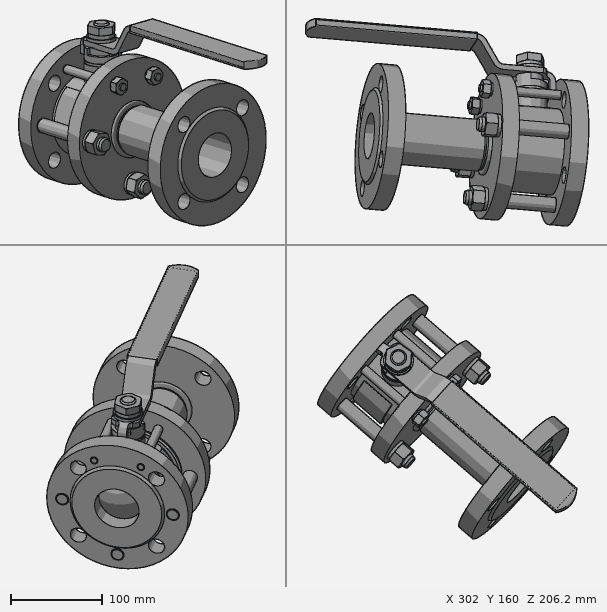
import cadquery as cq
import math


flange_radius = 80.0
flange_thickness = 19.5
raised_face_height = 2.7
raised_face_radius = 53.5
sealing_face_radius = 50.8
bore_radius = 25.0
bolt_circle_radius = 62.5
bolt_hole_radius = 9.0
bolt_hole_angles = (45, 135, 225, 315)

inlet_flange_start = raised_face_height
inlet_flange_end = inlet_flange_start + flange_thickness

body_radius = 47.5
body_end = 77.3
pad_radius = 51.5
pad_start = 29.3
pad_end = 69.8
pad_inner_y = -33.0
stem_x = 50.2
neck_radius = 18.7
neck_floor = 76.7
neck_groove_bottom = 65.5
neck_groove_height = 3.0
neck_groove_depth = 0.5
stop_wall_top = 84.0
stop_wall_x_offset = 3.0
stop_wall_y_offset = 7.3

joint_face_height = 3.5
joint_chamfer_height = 1.8
joint_face_radius = 51.5
middle_flange_thickness = 18.7
middle_flange_start = body_end + joint_face_height
middle_flange_end = middle_flange_start + middle_flange_thickness
outlet_flange_start = 208.8
outlet_flange_end = outlet_flange_start + flange_thickness
outlet_face = outlet_flange_end + raised_face_height
pipe_radius = 28.5
weld_neck_radius = 26.5
weld_neck_length = 1.8
weld_bevel_length = 2.5
collar_radius = 32.0
collar_length = 3.3
collar_fillet = 1.0

ball_radius = 40.5
stem_radius = 14.5
stem_thread_radius = 8.8
stem_top = 111.2
stem_tip_chamfer = 1.8
stop_pin_radius = 3.0
stop_pin_length = 40.0
flat_washer_radius = 16.3
flat_washer_height = 3.5
spring_washer_height = 4.5
stem_nut_corner_radius = 16.0
stem_nut_height = 9.0
stem_nut_turn = 7
nut_chamfer = 1.0
nut_clearance = 0.3

lever_half_width = 16.0
lever_thickness = 6.3
lever_bottom = 85.5
lever_top = lever_bottom + lever_thickness
lever_end = 294.3
tail_half_width = 5.0
tail_bottom = 70.0
tail_bend_radius = 11.2
tail_neck_x = 30.0
shoulder_half_width = 9.5
shoulder_end = 38.7
rise_start = 84.0
rise_angle = math.radians(60)
lower_bend_radius = 6.3
upper_bend_radius = 13.5
handle_top = 125.0
grip_start = 113.5
grip_end = 302.0
grip_wall = 1.2
grip_height = 9.5
grip_half_width = lever_half_width + grip_wall
grip_end_bulge = 6.3
grip_edge_fillet = 0.75

stud_end_chamfer = 1.0

large_studs = ((0, 47), (180, 47), (270, 47))
large_stud_radius = 8.2
large_stud_end_radius = 7.3
large_tip_end = 123.5
large_tip_chamfer_length = 3.0
large_tip_chamfer_depth = 1.2
large_washer_radius = 12.7
large_washer_height = 3.5
large_nut_corner_radius = 14.0
large_nut_height = 13.5

small_studs = ((65, 4), (115, 32))
small_stud_radius = 5.0
small_stud_end_radius = 4.2
small_tip_end = 113.3
small_washer_radius = 7.5
small_washer_height = 2.0
small_nut_corner_radius = 10.0
small_nut_height = 9.0


def cylinder_x(radius, start, end, y=0.0, z=0.0):
    return cq.Workplane("YZ", origin=(start, y, z)).circle(radius).extrude(end - start)


def cylinder_z(radius, bottom, top):
    return cq.Workplane("XY", origin=(stem_x, 0, bottom)).circle(radius).extrude(top - bottom)


def cone_x(start_radius, end_radius, start, end):
    outline = [(start, 0), (start, start_radius), (end, end_radius), (end, 0)]
    return cq.Workplane("XY").polyline(outline).close().revolve(360, (0, 0, 0), (1, 0, 0))


def ball():
    return cq.Workplane("YZ", origin=(stem_x, 0, 0)).sphere(ball_radius)


def block(x_range, y_range, z_range):
    sizes = [high - low for low, high in (x_range, y_range, z_range)]
    corner = (x_range[0], y_range[0], z_range[0])
    return cq.Workplane("XY").box(*sizes, centered=False).translate(corner)


def on_bolt_circle(angle):
    turn = math.radians(angle)
    return bolt_circle_radius * math.cos(turn), bolt_circle_radius * math.sin(turn)


def cut_bolt_holes(body, start, end):
    for angle in bolt_hole_angles:
        body = body.cut(cylinder_x(bolt_hole_radius, start, end, *on_bolt_circle(angle)))
    return body


def cut_stud_holes(body, studs, radius):
    for angle, _ in studs:
        body = body.cut(cylinder_x(radius, inlet_flange_start, inlet_flange_end, *on_bolt_circle(angle)))
    return body


def hex_nut(corner_radius, height):
    """Hexagonal nut standing on the XY plane, its corners turned down at both ends."""
    prism = cq.Workplane("XY").polygon(6, 2 * corner_radius).extrude(height)
    turned = cq.Workplane("XY").circle(corner_radius + nut_clearance).extrude(height)
    turned = turned.edges().chamfer(nut_chamfer + nut_clearance)
    return prism.intersect(turned)


def contact_pad():
    """Raised curved pad on the -Y side of the body, from the height of the pipe axis upwards."""
    ring = cylinder_x(pad_radius, pad_start, pad_end)
    return ring.intersect(block((pad_start, pad_end), (-pad_radius, pad_inner_y), (0, pad_radius)))


def neck():
    post = cylinder_z(neck_radius, 0, neck_floor)
    groove_top = neck_groove_bottom + neck_groove_height
    groove = cylinder_z(neck_radius, neck_groove_bottom, groove_top)
    groove = groove.cut(cylinder_z(neck_radius - neck_groove_depth, neck_groove_bottom, groove_top))
    return post.cut(groove)


def stop_walls():
    """Two opposite quarter walls on the neck that limit the swing of the stop pin."""
    ring = cylinder_z(neck_radius, neck_floor, stop_wall_top)
    corner = block(
        (stem_x - neck_radius, stem_x - stop_wall_x_offset),
        (-neck_radius, -stop_wall_y_offset),
        (neck_floor, stop_wall_top),
    )
    wall = ring.intersect(corner)
    opposite_wall = wall.rotate((stem_x, 0, 0), (stem_x, 0, 1), 180)
    return wall, opposite_wall


def make_housing():
    body = cone_x(sealing_face_radius, raised_face_radius, 0, inlet_flange_start)
    body = body.union(cylinder_x(flange_radius, inlet_flange_start, inlet_flange_end))
    body = body.union(cylinder_x(body_radius, inlet_flange_end, body_end))
    body = body.union(contact_pad()).union(neck())
    for wall in stop_walls():
        body = body.union(wall)
    body = body.cut(cylinder_x(bore_radius, 0, body_end))
    body = body.cut(ball())
    body = body.cut(cylinder_z(stem_radius, 0, stop_wall_top))
    body = cut_bolt_holes(body, 0, inlet_flange_end)
    body = cut_stud_holes(body, large_studs, large_stud_end_radius)
    return cut_stud_holes(body, small_studs, small_stud_end_radius)


def stud_with_washer(end_radius, shank_radius, washer_radius, washer_height):
    """Stud along the X axis from its end in the inlet flange to its washer."""
    flange_end = cylinder_x(end_radius, inlet_flange_start, inlet_flange_end)
    flange_end = flange_end.faces("<X").chamfer(stud_end_chamfer)
    shank = cylinder_x(shank_radius, inlet_flange_end, middle_flange_end)
    washer = cylinder_x(washer_radius, middle_flange_end, middle_flange_end + washer_height)
    return flange_end.union(shank).union(washer)


def large_stud():
    tip = cylinder_x(large_stud_radius, middle_flange_end, large_tip_end)
    tip = tip.faces(">X").chamfer(large_tip_chamfer_length, large_tip_chamfer_depth)
    shaft = stud_with_washer(
        large_stud_end_radius, large_stud_radius, large_washer_radius, large_washer_height
    )
    return shaft.union(tip)


def small_stud():
    tip = cylinder_x(small_stud_end_radius, middle_flange_end, small_tip_end)
    shaft = stud_with_washer(
        small_stud_end_radius, small_stud_radius, small_washer_radius, small_washer_height
    )
    return shaft.union(tip)


def add_studs(body, studs, stud, nut, washer_height):
    nut = nut.rotate((0, 0, 0), (1, 1, 1), 120)
    nut = nut.translate((middle_flange_end + washer_height, 0, 0))
    for angle, nut_turn in studs:
        bolt = stud.union(nut.rotate((0, 0, 0), (1, 0, 0), nut_turn))
        bolt = bolt.translate((0, bolt_circle_radius, 0))
        body = body.union(bolt.rotate((0, 0, 0), (1, 0, 0), angle))
    return body


def pipe():
    """Pipe with a bevelled weld neck at each end."""
    start = middle_flange_end + collar_length
    end = outlet_flange_start - collar_length
    outline = [
        (start, 0),
        (start, weld_neck_radius),
        (start + weld_neck_length, weld_neck_radius),
        (start + weld_neck_length + weld_bevel_length, pipe_radius),
        (end - weld_neck_length - weld_bevel_length, pipe_radius),
        (end - weld_neck_length, weld_neck_radius),
        (end, weld_neck_radius),
        (end, 0),
    ]
    return cq.Workplane("XY").polyline(outline).close().revolve(360, (0, 0, 0), (1, 0, 0))


def make_spool():
    joint_chamfer_end = body_end + joint_chamfer_height
    joint_chamfer = cone_x(joint_face_radius, raised_face_radius, body_end, joint_chamfer_end)
    joint_face = cylinder_x(raised_face_radius, joint_chamfer_end, middle_flange_start)
    outlet_raised_face = cone_x(raised_face_radius, sealing_face_radius, outlet_flange_end, outlet_face)
    inner_collar = cylinder_x(collar_radius, middle_flange_end, middle_flange_end + collar_length)
    outer_collar = cylinder_x(collar_radius, outlet_flange_start - collar_length, outlet_flange_start)
    outlet_flange = cylinder_x(flange_radius, outlet_flange_start, outlet_flange_end)

    large_nut = hex_nut(large_nut_corner_radius, large_nut_height)
    small_nut = hex_nut(small_nut_corner_radius, small_nut_height)

    body = cylinder_x(flange_radius, middle_flange_start, middle_flange_end)
    body = add_studs(body, large_studs, large_stud(), large_nut, large_washer_height)
    body = add_studs(body, small_studs, small_stud(), small_nut, small_washer_height)
    body = body.union(joint_face).union(joint_chamfer)
    body = body.union(inner_collar.faces(">X").edges().fillet(collar_fillet))
    body = body.union(pipe())
    body = body.union(outer_collar.faces("<X").edges().fillet(collar_fillet))
    body = body.union(cut_bolt_holes(outlet_flange, outlet_flange_start, outlet_flange_end))
    body = body.union(outlet_raised_face)
    body = body.cut(cylinder_x(bore_radius, body_end, outlet_face))
    return body.cut(ball())


def make_ball_and_stem():
    spring_washer_bottom = lever_top + flat_washer_height
    nut_bottom = spring_washer_bottom + spring_washer_height
    body = ball()
    body = body.union(cylinder_z(stem_radius, 0, lever_bottom))
    body = body.union(cylinder_z(stem_thread_radius, 0, stem_top).faces(">Z").chamfer(stem_tip_chamfer))
    body = body.union(cylinder_z(flat_washer_radius, lever_top, spring_washer_bottom))
    body = body.union(cylinder_z(stem_radius, spring_washer_bottom, nut_bottom))
    nut = hex_nut(stem_nut_corner_radius, stem_nut_height).rotate((0, 0, 0), (0, 0, 1), stem_nut_turn)
    body = body.union(nut.translate((stem_x, 0, nut_bottom)))
    pin_start = stem_x - stop_pin_length / 2
    pin_height = stop_wall_top - stop_pin_radius
    return body.union(cylinder_x(stop_pin_radius, pin_start, pin_start + stop_pin_length, z=pin_height))


def lever_profile():
    """Bent strip outline in the XZ plane, from the bottom of the tail to the end inside the grip."""
    sine, cosine = math.sin(rise_angle), math.cos(rise_angle)
    half_sine, half_cosine = math.sin(rise_angle / 2), math.cos(rise_angle / 2)
    diagonal = math.sqrt(0.5)

    tail_x = inlet_flange_end
    tail_center = (tail_x + tail_bend_radius, lever_top - tail_bend_radius)
    tail_inner_radius = tail_bend_radius - lever_thickness
    lower_center = (rise_start, lever_top + lower_bend_radius)
    lower_outer_radius = lower_bend_radius + lever_thickness
    bend_radii = lower_bend_radius + upper_bend_radius
    slope_height = handle_top - lever_top - bend_radii * (1 - cosine)
    upper_center_x = rise_start + bend_radii * sine + slope_height / math.tan(rise_angle)
    upper_center = (upper_center_x, handle_top - upper_bend_radius)
    upper_inner_radius = upper_bend_radius - lever_thickness

    def polar(center, radius, x_part, z_part):
        return center[0] + radius * x_part, center[1] + radius * z_part

    return (
        cq.Workplane("XZ", origin=(0, lever_half_width, 0))
        .moveTo(tail_x, tail_bottom)
        .lineTo(*polar(tail_center, tail_bend_radius, -1, 0))
        .threePointArc(
            polar(tail_center, tail_bend_radius, -diagonal, diagonal),
            polar(tail_center, tail_bend_radius, 0, 1),
        )
        .lineTo(*polar(lower_center, lower_bend_radius, 0, -1))
        .threePointArc(
            polar(lower_center, lower_bend_radius, half_sine, -half_cosine),
            polar(lower_center, lower_bend_radius, sine, -cosine),
        )
        .lineTo(*polar(upper_center, upper_bend_radius, -sine, cosine))
        .threePointArc(
            polar(upper_center, upper_bend_radius, -half_sine, half_cosine),
            polar(upper_center, upper_bend_radius, 0, 1),
        )
        .lineTo(lever_end, handle_top)
        .lineTo(lever_end, handle_top - lever_thickness)
        .lineTo(*polar(upper_center, upper_inner_radius, 0, 1))
        .threePointArc(
            polar(upper_center, upper_inner_radius, -half_sine, half_cosine),
            polar(upper_center, upper_inner_radius, -sine, cosine),
        )
        .lineTo(*polar(lower_center, lower_outer_radius, sine, -cosine))
        .threePointArc(
            polar(lower_center, lower_outer_radius, half_sine, -half_cosine),
            polar(lower_center, lower_outer_radius, 0, -1),
        )
        .lineTo(*polar(tail_center, tail_inner_radius, 0, 1))
        .threePointArc(
            polar(tail_center, tail_inner_radius, -diagonal, diagonal),
            polar(tail_center, tail_inner_radius, -1, 0),
        )
        .lineTo(tail_x + lever_thickness, tail_bottom)
        .close()
    )


def lever_plan():
    """Outline in the XY plane: narrow tail, flared shoulder rounded about the stem, straight handle."""
    bend_end = inlet_flange_end + tail_bend_radius
    reach = math.hypot(stem_x - shoulder_end, lever_half_width)
    mid_angle = (
        math.atan2(lever_half_width, shoulder_end - stem_x)
        + math.atan2(shoulder_half_width, bend_end - stem_x)
    ) / 2
    mid_x = stem_x + reach * math.cos(mid_angle)
    mid_y = reach * math.sin(mid_angle)
    flare_radius = bend_end - tail_neck_x
    flare_mid_x = tail_neck_x + flare_radius * math.sqrt(0.5)
    flare_mid_y = shoulder_half_width - (shoulder_half_width - tail_half_width) * math.sqrt(0.5)
    return (
        cq.Workplane("XY")
        .moveTo(inlet_flange_end, tail_half_width)
        .lineTo(tail_neck_x, tail_half_width)
        .threePointArc((flare_mid_x, flare_mid_y), (bend_end, shoulder_half_width))
        .threePointArc((mid_x, mid_y), (shoulder_end, lever_half_width))
        .lineTo(lever_end, lever_half_width)
        .lineTo(lever_end, -lever_half_width)
        .lineTo(shoulder_end, -lever_half_width)
        .threePointArc((mid_x, -mid_y), (bend_end, -shoulder_half_width))
        .threePointArc((flare_mid_x, -flare_mid_y), (tail_neck_x, -tail_half_width))
        .lineTo(inlet_flange_end, -tail_half_width)
        .close()
    )


def make_lever():
    strip = lever_profile().extrude(2 * lever_half_width)
    strip = strip.intersect(lever_plan().extrude(handle_top))
    return strip.cut(cylinder_z(stem_thread_radius, lever_bottom, lever_top))


def make_grip(lever):
    """Sleeve over the handle, closed by a bulged end."""
    side_end = grip_end - grip_end_bulge
    grip_top = handle_top + grip_wall
    sleeve = (
        cq.Workplane("XY", origin=(0, 0, grip_top - grip_height))
        .moveTo(grip_start, -grip_half_width)
        .lineTo(side_end, -grip_half_width)
        .threePointArc((grip_end, 0), (side_end, grip_half_width))
        .lineTo(grip_start, grip_half_width)
        .close()
        .extrude(grip_height)
    )
    sleeve = sleeve.faces(">Z or <Z").edges().fillet(grip_edge_fillet)
    return sleeve.cut(lever)


housing = make_housing()
spool = make_spool()
ball_and_stem = make_ball_and_stem()
lever = make_lever()
grip = make_grip(lever)

result = cq.Compound.makeCompound(
    [housing.val(), spool.val(), ball_and_stem.val(), lever.val(), grip.val()]
)